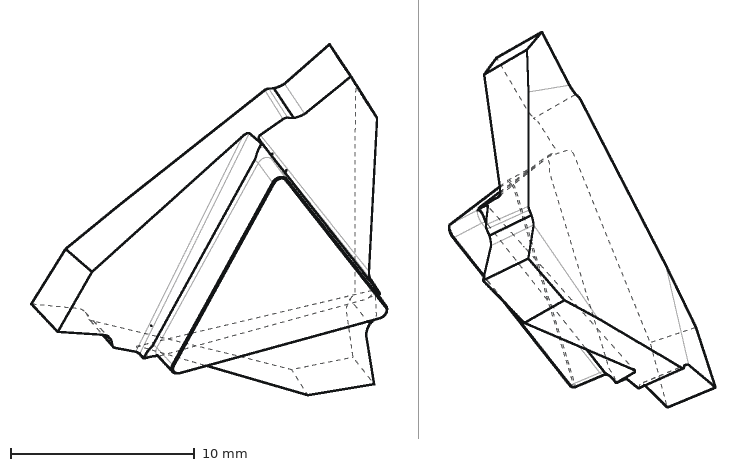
import cadquery as cq
import math

CORNERS = 3
TURN = 360 / CORNERS
HEIGHT = 5.53
PLATE_TOP = 3.2
SIDE = 7.1

CORNER = (SIDE, 7.85)
TIP = (5.51, 11.17)
NOTCH_END = (2.86, 9.24)
NOTCH_MID = (2.56, 9.15)
NOTCH_RAMP = (2.22, 9.13)
NOTCH_SIDE = (1.79, 9.24)
NOTCH_ROUND = 0.32

CORNER_SLIDE = 0.4
FACET_GROWTH = 1.065
EDGE_GROWTH = 1.0
NOTCH_SLIDE = 0.22

WALL_RADIUS = 4.11
WALL_DRAFT = 3.8
RAKE_LEVEL = 2.89
RAKE_SLOPE_Y = 0.047
RAKE_SLOPE_Z = 0.095
POCKET_FILLET = 0.17
REACH = 19.38

BOSS_RADIUS = 4.0
BOSS_CORNER = 0.47
BOSS_DRAFT = 1.5
BOSS_FILLET = 0.43
BOSS_CHAMFER = 0.06

BEND_START = NOTCH_END
BEND_END = (SIDE, 4.05)
TIP_RISE = 0.13


def turned(point, degrees):
    y, z = point
    angle = math.radians(degrees)
    return (
        y * math.cos(angle) - z * math.sin(angle),
        y * math.sin(angle) + z * math.cos(angle),
    )


def extend(origin, start, end, ratio):
    """Point reached from origin along start-to-end, scaled by ratio."""
    return tuple(o + ratio * (e - s) for o, s, e in zip(origin, start, end))


def relieved_nose():
    corner = (CORNER[0], CORNER[1] - CORNER_SLIDE)
    tip = extend(corner, CORNER, TIP, FACET_GROWTH)
    notch_end = extend(tip, TIP, NOTCH_END, EDGE_GROWTH)
    slide = turned((0, NOTCH_SLIDE), TURN)
    notch_side = (NOTCH_SIDE[0] + slide[0], NOTCH_SIDE[1] + slide[1])
    notch_mid = extend(notch_end, NOTCH_END, NOTCH_MID, 1)
    notch_ramp = extend(notch_end, NOTCH_END, NOTCH_RAMP, 1)
    return [corner, tip, notch_end, notch_mid, notch_ramp, notch_side]


def draw_outline(plane, nose):
    outline = plane.moveTo(*turned(nose[-1], -TURN))
    for index in range(CORNERS):
        corner, tip, end, mid, ramp, side = [turned(p, index * TURN) for p in nose]
        outline = outline.lineTo(*corner).lineTo(*tip).lineTo(*end)
        outline = outline.threePointArc(mid, ramp)
        if index < CORNERS - 1:
            outline = outline.lineTo(*side)
    return outline.close()


def make_plate():
    back_nose = [CORNER, TIP, NOTCH_END, NOTCH_MID, NOTCH_RAMP, NOTCH_SIDE]
    back = draw_outline(cq.Workplane("YZ"), back_nose)
    top_nose = relieved_nose()
    outlines = draw_outline(back.workplane(offset=PLATE_TOP), top_nose)
    notch_midway = extend(NOTCH_SIDE, NOTCH_SIDE, top_nose[-1], 0.5)
    plate = outlines.loft(ruled=True, combine=True)
    for index in range(CORNERS):
        rounded_point = (PLATE_TOP / 2, *turned(notch_midway, index * TURN))
        rounded_edge = plate.edges(cq.selectors.NearestToPointSelector(rounded_point))
        plate = rounded_edge.fillet(NOTCH_ROUND)
    return plate


def make_boss():
    boss_height = HEIGHT - PLATE_TOP
    corner_distance = 2 * BOSS_RADIUS
    triangle = [turned((0, corner_distance), i * TURN) for i in range(CORNERS)]
    prism = cq.Workplane("YZ").workplane(offset=PLATE_TOP).polyline(triangle).close()
    boss = prism.extrude(boss_height, taper=BOSS_DRAFT)
    boss = boss.edges("not(#X)").fillet(BOSS_CORNER)
    return boss.faces(">X").chamfer(BOSS_CHAMFER)


def make_pocket():
    """Space above the rake face and outside the drafted wall of the upper nose."""
    wall_angle = TURN / 4
    out_y, out_z = turned((1, 0), wall_angle)
    slope_out = RAKE_SLOPE_Y * out_y + RAKE_SLOPE_Z * out_z
    slope_along = -RAKE_SLOPE_Y * out_z + RAKE_SLOPE_Z * out_y
    corner_out, corner_along = turned(CORNER, -wall_angle)

    def section(along):
        """Pocket outline at a given place along the wall."""
        floor_offset = RAKE_LEVEL - slope_out * corner_out + slope_along * (along - corner_along)
        draft = math.tan(math.radians(WALL_DRAFT))
        wall_base = WALL_RADIUS + draft * (PLATE_TOP - floor_offset)
        wall_base = wall_base / (1 + draft * slope_out)
        wall_top = WALL_RADIUS - draft * (HEIGHT - PLATE_TOP)
        points = [
            (floor_offset + slope_out * wall_base, wall_base),
            (floor_offset + slope_out * REACH, REACH),
            (HEIGHT, REACH),
            (HEIGHT, wall_top),
        ]
        return cq.Wire.makePolygon([cq.Vector(x, out, along) for x, out in points], close=True)

    pocket = cq.Solid.makeLoft([section(-REACH / 2), section(REACH / 2)], True)
    floor_point = (RAKE_LEVEL, WALL_RADIUS, 0)
    floor_edge = cq.Workplane(pocket).edges(cq.selectors.NearestToPointSelector(floor_point))
    return floor_edge.fillet(POCKET_FILLET).rotate((0, 0, 0), (1, 0, 0), wall_angle)


def make_underside_cut():
    """Thin wedge that lifts the back face of the upper nose towards its tip."""
    along_y = BEND_END[0] - BEND_START[0]
    along_z = BEND_END[1] - BEND_START[1]
    bend_length = math.hypot(along_y, along_z)
    tip_reach = (along_y * (TIP[1] - BEND_START[1]) - along_z * (TIP[0] - BEND_START[0])) / bend_length
    wedge_length = 2 * tip_reach
    profile = [(0, 0), (0, wedge_length), (2 * TIP_RISE, wedge_length)]
    wedge = cq.Workplane("XY").polyline(profile).close().extrude(REACH / 2, both=True)
    heading = math.degrees(math.atan2(along_y, -along_z))
    return wedge.rotate((0, 0, 0), (1, 0, 0), heading).translate((0, *BEND_START))


body = make_plate().union(make_boss())
platform = body.faces("|X").faces("<X[1]").val()
body = body.newObject(platform.innerWires()[0].Edges()).fillet(BOSS_FILLET)
for cutter in (make_pocket(), make_underside_cut()):
    for index in range(CORNERS):
        body = body.cut(cutter.rotate((0, 0, 0), (1, 0, 0), index * TURN))
result = body